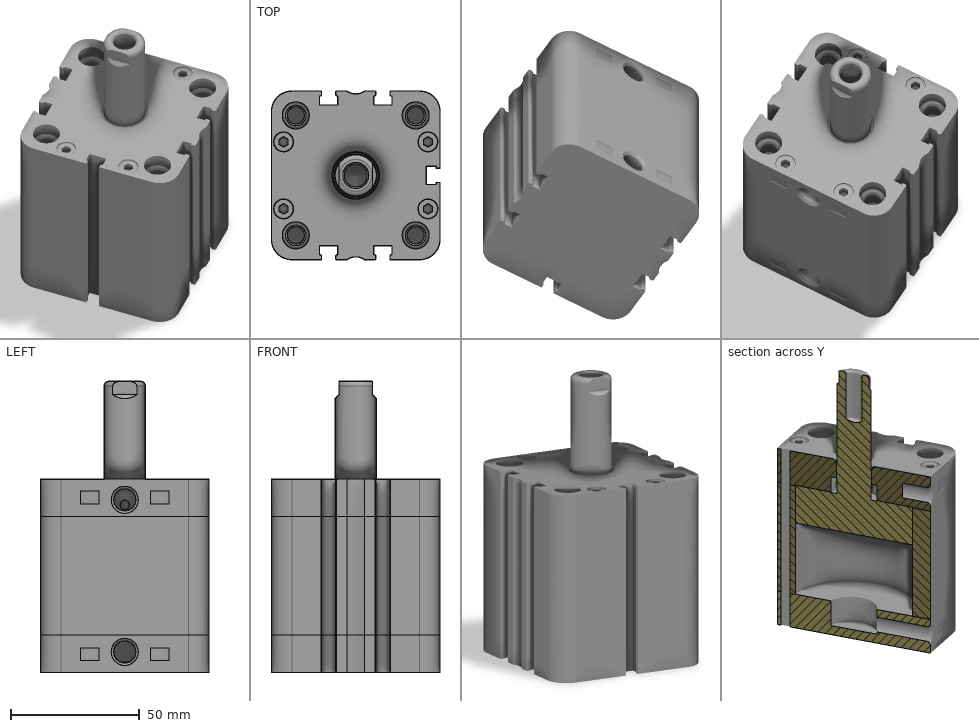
import cadquery as cq
import math


BODY_WIDTH = 65.5
BODY_CORNER_RADIUS = 8.0
CAP_HEIGHT = 14.5
TUBE_HEIGHT = 46.0
ROD_EXTENSION = 38.0
HALF_WIDTH = BODY_WIDTH / 2
TUBE_TOP = CAP_HEIGHT + TUBE_HEIGHT
BODY_TOP = TUBE_TOP + CAP_HEIGHT
ROD_TOP = BODY_TOP + ROD_EXTENSION

SLOT_OFFSET = 10.5
SLOT_DEPTH = 5.4
SLOT_INNER_WIDTH = 7.0
SLOT_MOUTH_WIDTH = 5.4
SLOT_LIP_THICKNESS = 2.0
SLOT_OUTER_CHAMFER = 0.3
SLOT_INNER_CHAMFER = 0.4
SIDE_SLOT_LIP_THICKNESS = 1.6
GROOVE_RADIUS = 6.0
GROOVE_DEPTH = 1.1

BORE_DIAMETER = 50.0
STROKE = 30.0
PISTON_HEIGHT = TUBE_HEIGHT - STROKE
ROD_DIAMETER = 16.0
ROD_END_FILLET = 1.8
FLATS_WIDTH = 13.0
FLATS_HEIGHT = 5.2
ROD_HOLE_DIAMETER = 8.9
ROD_HOLE_RIM_DIAMETER = 10.1
ROD_HOLE_DEPTH = 20.0
DRILL_POINT_ANGLE = 118.0

ROD_RECESS_DIAMETER = 17.7
ROD_RECESS_RIM_DIAMETER = 18.4
ROD_CLEARANCE_DIAMETER = 16.54
ROD_CLEARANCE_DEPTH = 1.5
CHAMBER_DIAMETER = 20.5
BASE_CHAMBER_HEIGHT = 10.5
ROD_CHAMBER_HEIGHT = 6.5

PORT_DIAMETER = 8.57
PORT_RIM_DIAMETER = 10.5
PORT_RIM_DEPTH = 1.0
PORT_DISTANCE = 8.0
ROD_PORT_DEPTH = 12.0
AIR_PASSAGE_DIAMETER = 3.5
AIR_PASSAGE_DROP = 2.0

LABEL_WIDTH = 7.2
LABEL_HEIGHT = 4.9
LABEL_DEPTH = 0.2
LABEL_OFFSET = 13.5
LABEL_DISTANCE = 7.1

MOUNT_SPACING = 46.5
MOUNT_COUNTERBORE_DIAMETER = 10.5
MOUNT_COUNTERBORE_DEPTH = 5.0
MOUNT_RIM_DIAMETER = 8.0
MOUNT_HOLE_DIAMETER = 6.65
MOUNT_HOLE_DEPTH = 12.0
SCREW_SPACING_X = 56.0
SCREW_SPACING_Y = 26.0
SCREW_POCKET_DIAMETER = 7.7
SCREW_POCKET_DEPTH = 1.5
SCREW_HEAD_DIAMETER = 7.5
SCREW_HEAD_SINK = 0.5
SCREW_SOCKET_ACROSS_FLATS = 3.5
SCREW_SOCKET_DEPTH = 3.0


def cylinder(diameter, bottom, top):
    """Cylinder on the Z axis between two heights."""
    return cq.Workplane("XY").workplane(offset=bottom).circle(diameter / 2).extrude(top - bottom)


def cone(bottom_diameter, top_diameter, bottom, top):
    """Truncated cone on the Z axis between two heights."""
    return cq.Workplane(
        obj=cq.Solid.makeCone(bottom_diameter / 2, top_diameter / 2, top - bottom, cq.Vector(0, 0, bottom))
    )


def side_cylinder(diameter, start_x, end_x, z):
    """Cylinder along X, centred on Y = 0 at height z."""
    return cq.Workplane("YZ", origin=(start_x, 0, z)).circle(diameter / 2).extrude(end_x - start_x)


def slot_cutter(height, lip_thickness):
    """T-slot prism opening at the +Y face, centred on X = 0."""
    mouth = cq.Workplane("XY").rect(SLOT_MOUTH_WIDTH, 2 * SLOT_DEPTH).extrude(height)
    inner_depth = SLOT_DEPTH - lip_thickness
    inner = (
        cq.Workplane("XY")
        .center(0, inner_depth / 2 - SLOT_DEPTH)
        .rect(SLOT_INNER_WIDTH, inner_depth)
        .extrude(height)
    )
    return mouth.union(inner).translate((0, HALF_WIDTH, 0))


def lip_chamfer_cutter(height, lip_face_y, leg):
    """Prism that bevels both lip corners of a slot; the sign of leg sets the side it narrows to."""
    mouth = SLOT_MOUTH_WIDTH / 2
    wide = mouth + abs(leg)
    return (
        cq.Workplane("XY")
        .center(0, lip_face_y)
        .polyline([(-wide, 0), (wide, 0), (mouth, leg), (-mouth, leg)])
        .close()
        .extrude(height)
    )


def chamfered_slot_cutter(height):
    """T-slot prism with small chamfers on the outer and inner corners of each lip."""
    outer_chamfer = lip_chamfer_cutter(height, HALF_WIDTH, -SLOT_OUTER_CHAMFER)
    inner_chamfer = lip_chamfer_cutter(height, HALF_WIDTH - SLOT_LIP_THICKNESS, SLOT_INNER_CHAMFER)
    return slot_cutter(height, SLOT_LIP_THICKNESS).union(outer_chamfer).union(inner_chamfer)


def profile(bottom, height):
    """Rounded square block with the T-slots and finger grooves of the body."""
    block = cq.Workplane("XY").rect(BODY_WIDTH, BODY_WIDTH).extrude(height)
    block = block.edges("|Z").fillet(BODY_CORNER_RADIUS)
    slot = chamfered_slot_cutter(height)
    groove_centre = HALF_WIDTH - GROOVE_DEPTH + GROOVE_RADIUS
    groove = cq.Workplane("XY").center(0, groove_centre).circle(GROOVE_RADIUS).extrude(height)
    for turn in (0, 180):
        for x in (-SLOT_OFFSET, SLOT_OFFSET):
            block = block.cut(slot.translate((x, 0, 0)).rotate((0, 0, 0), (0, 0, 1), turn))
        block = block.cut(groove.rotate((0, 0, 0), (0, 0, 1), turn))
    side_slot = slot_cutter(height, SIDE_SLOT_LIP_THICKNESS)
    block = block.cut(side_slot.rotate((0, 0, 0), (0, 0, 1), -90))
    return block.translate((0, 0, bottom))


def port_cutter(z, end_x):
    """Air port entering from the -X face with a conical rim."""
    bore = side_cylinder(PORT_DIAMETER, -HALF_WIDTH, end_x, z)
    rim = cq.Solid.makeCone(
        PORT_RIM_DIAMETER / 2, PORT_DIAMETER / 2, PORT_RIM_DEPTH,
        cq.Vector(-HALF_WIDTH, 0, z), cq.Vector(1, 0, 0),
    )
    return bore.union(cq.Workplane(obj=rim))


def label_cutters(z):
    """Shallow rectangular recesses on both sides of a port."""
    return (
        cq.Workplane("YZ", origin=(-HALF_WIDTH, 0, z))
        .pushPoints([(-LABEL_OFFSET, 0), (LABEL_OFFSET, 0)])
        .rect(LABEL_WIDTH, LABEL_HEIGHT)
        .extrude(LABEL_DEPTH)
    )


def mount_cutter():
    """Counterbored blind mounting hole with a conical rim."""
    counterbore_floor = BODY_TOP - MOUNT_COUNTERBORE_DEPTH
    rim_depth = (MOUNT_RIM_DIAMETER - MOUNT_HOLE_DIAMETER) / 2
    hole = cylinder(MOUNT_HOLE_DIAMETER, BODY_TOP - MOUNT_HOLE_DEPTH, BODY_TOP)
    rim = cone(MOUNT_HOLE_DIAMETER, MOUNT_RIM_DIAMETER, counterbore_floor - rim_depth, counterbore_floor)
    counterbore = cylinder(MOUNT_COUNTERBORE_DIAMETER, counterbore_floor, BODY_TOP)
    return hole.union(rim).union(counterbore)


def screw_cutter():
    """Space around a sunken screw head, plus its hexagon socket."""
    pocket = cylinder(SCREW_POCKET_DIAMETER, BODY_TOP - SCREW_POCKET_DEPTH, BODY_TOP)
    head_top = BODY_TOP - SCREW_HEAD_SINK
    head = cylinder(SCREW_HEAD_DIAMETER, BODY_TOP - SCREW_POCKET_DEPTH, head_top)
    socket = (
        cq.Workplane("XY")
        .workplane(offset=head_top - SCREW_SOCKET_DEPTH)
        .polygon(6, SCREW_SOCKET_ACROSS_FLATS, circumscribed=True)
        .extrude(SCREW_SOCKET_DEPTH)
    )
    return pocket.cut(head).union(socket)


def cut_at_corners(body, cutter, spacing_x, spacing_y):
    """Cut the same shape at the four corners of a rectangle."""
    for x in (-spacing_x / 2, spacing_x / 2):
        for y in (-spacing_y / 2, spacing_y / 2):
            body = body.cut(cutter.translate((x, y, 0)))
    return body


def make_base_cap():
    """Lower cap with an open chamber fed by its air port."""
    cap = profile(0, CAP_HEIGHT)
    cap = cap.cut(cylinder(CHAMBER_DIAMETER, CAP_HEIGHT - BASE_CHAMBER_HEIGHT, CAP_HEIGHT))
    cap = cap.cut(port_cutter(PORT_DISTANCE, 0))
    return cap.cut(label_cutters(LABEL_DISTANCE))


def make_tube():
    """Middle profile with the piston bore."""
    return profile(CAP_HEIGHT, TUBE_HEIGHT).cut(cylinder(BORE_DIAMETER, CAP_HEIGHT, TUBE_TOP))


def make_rod_cap():
    """Upper cap that guides the rod and carries the mounting holes and screw heads."""
    cap = profile(TUBE_TOP, CAP_HEIGHT)

    recess_depth = (ROD_RECESS_RIM_DIAMETER - ROD_RECESS_DIAMETER) / 2
    recess = cone(ROD_RECESS_DIAMETER, ROD_RECESS_RIM_DIAMETER, BODY_TOP - recess_depth, BODY_TOP)
    cap = cap.cut(cylinder(ROD_DIAMETER, TUBE_TOP, BODY_TOP))
    cap = cap.cut(cylinder(ROD_CLEARANCE_DIAMETER, BODY_TOP - ROD_CLEARANCE_DEPTH, BODY_TOP))
    cap = cap.cut(recess)
    cap = cap.cut(cylinder(CHAMBER_DIAMETER, TUBE_TOP, TUBE_TOP + ROD_CHAMBER_HEIGHT))

    port_z = BODY_TOP - PORT_DISTANCE
    port_floor_x = -HALF_WIDTH + ROD_PORT_DEPTH
    cap = cap.cut(port_cutter(port_z, port_floor_x))
    cap = cap.cut(side_cylinder(AIR_PASSAGE_DIAMETER, port_floor_x, 0, port_z - AIR_PASSAGE_DROP))
    cap = cap.cut(label_cutters(BODY_TOP - LABEL_DISTANCE))

    cap = cut_at_corners(cap, mount_cutter(), MOUNT_SPACING, MOUNT_SPACING)
    return cut_at_corners(cap, screw_cutter(), SCREW_SPACING_X, SCREW_SPACING_Y)


def make_piston_rod():
    """Rod with wrench flats and an end hole, in one piece with its piston."""
    piston_bottom = TUBE_TOP - PISTON_HEIGHT
    rod = cylinder(ROD_DIAMETER, piston_bottom, ROD_TOP).faces(">Z").edges().fillet(ROD_END_FILLET)

    flat_x = FLATS_WIDTH / 2
    rod_radius = ROD_DIAMETER / 2
    flat_bottom = ROD_TOP - FLATS_HEIGHT
    bevel_bottom = flat_bottom - (rod_radius - flat_x)
    flat = (
        cq.Workplane("XZ")
        .polyline([
            (flat_x, ROD_TOP), (flat_x, flat_bottom), (rod_radius, bevel_bottom), (rod_radius, ROD_TOP),
        ])
        .close()
        .extrude(rod_radius, both=True)
    )
    rod = rod.cut(flat).cut(flat.mirror("YZ"))

    hole_bottom = ROD_TOP - ROD_HOLE_DEPTH
    point_depth = ROD_HOLE_DIAMETER / 2 / math.tan(math.radians(DRILL_POINT_ANGLE / 2))
    rim_depth = (ROD_HOLE_RIM_DIAMETER - ROD_HOLE_DIAMETER) / 2
    rod = rod.cut(cylinder(ROD_HOLE_DIAMETER, hole_bottom, ROD_TOP))
    rod = rod.cut(cone(0, ROD_HOLE_DIAMETER, hole_bottom - point_depth, hole_bottom))
    rod = rod.cut(cone(ROD_HOLE_DIAMETER, ROD_HOLE_RIM_DIAMETER, ROD_TOP - rim_depth, ROD_TOP))

    return rod.union(cylinder(BORE_DIAMETER, piston_bottom, TUBE_TOP))


base_cap = make_base_cap()
tube = make_tube()
rod_cap = make_rod_cap()
piston_rod = make_piston_rod()

result = cq.Compound.makeCompound([
    base_cap.val(),
    tube.val(),
    rod_cap.val(),
    piston_rod.val(),
])